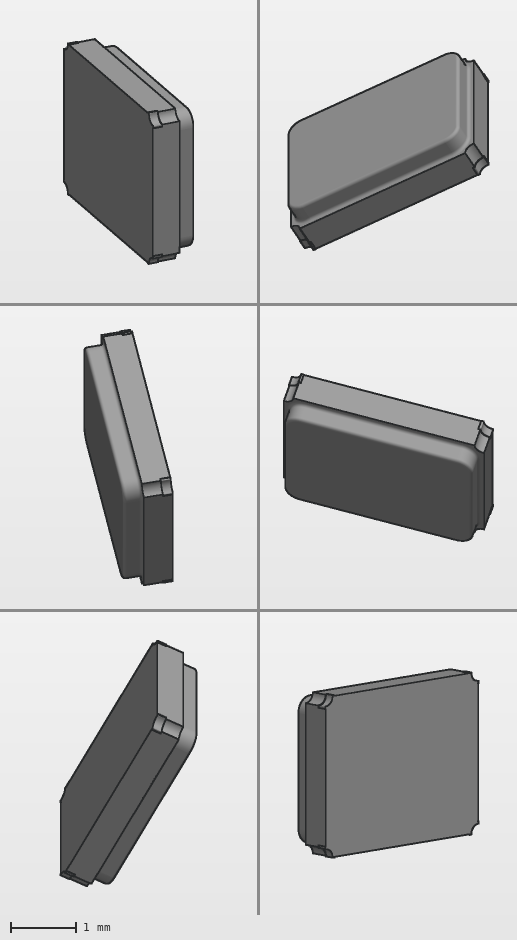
import cadquery as cq

overall_x = 3.22
overall_y = 0.75
overall_z = 2.52

pad_thickness = 0.01
pad_depth = 0.155
pad_reach = 0.185
pad_lip_round = 0.01

base_x = overall_x - 2 * pad_thickness
base_z = overall_z - 2 * pad_thickness
base_depth = 0.45
notch_radius = 0.15
pad_notch_radius = notch_radius - pad_thickness

lid_inset = 0.1
lid_x = base_x - 2 * lid_inset
lid_z = base_z - 2 * lid_inset
lid_height = overall_y - base_depth
lid_corner_radius = 0.25
lid_round = 0.05


def block(size_x, depth, size_z):
    """Block centred in X and Z, running from y = 0 towards +Y."""
    return cq.Workplane("XY").box(size_x, depth, size_z, centered=(True, False, True))


def corner_rods(radius, depth):
    """Round rods along Y on the four corners of the base."""
    return (
        cq.Workplane("XZ")
        .rect(base_x, base_z, forConstruction=True)
        .vertices()
        .circle(radius)
        .extrude(-depth)
    )


def lip_edges():
    """Selector for the edges where the pad notches meet the outer pad faces."""
    margin = 0.003
    lip_x = base_x / 2 - pad_notch_radius
    lip_z = base_z / 2 - pad_notch_radius
    lips = [(lip_x, overall_z / 2), (overall_x / 2, lip_z)]
    boxes = [
        cq.selectors.BoxSelector(
            (side_x * x - margin, -margin, side_z * z - margin),
            (side_x * x + margin, pad_depth + margin, side_z * z + margin),
            boundingbox=True,
        )
        for x, z in lips
        for side_x in (-1, 1)
        for side_z in (-1, 1)
    ]
    selector = boxes[0]
    for box in boxes[1:]:
        selector = selector + box
    return selector


def corner_pads():
    """Square pads at the front of the base corners, with round-lipped notches."""
    pad_side = pad_reach + pad_thickness
    pads = (
        cq.Workplane("XZ")
        .rect(overall_x - pad_side, overall_z - pad_side, forConstruction=True)
        .vertices()
        .rect(pad_side, pad_side)
        .extrude(-pad_depth)
    )
    pads = pads.cut(corner_rods(pad_notch_radius, pad_depth))
    return pads.edges(lip_edges()).fillet(pad_lip_round)


def lid():
    """Rounded cap whose foot flares onto the base in a concave fillet."""
    cap = (
        block(lid_x, lid_height, lid_z)
        .edges("|Y")
        .fillet(lid_corner_radius)
        .faces(">Y")
        .edges()
        .fillet(lid_round)
    )
    return cap.translate((0, base_depth, 0))


base = block(base_x, base_depth, base_z).cut(corner_rods(notch_radius, base_depth))
body = base.union(corner_pads()).union(lid())

foot_margin = 0.003
foot_selector = cq.selectors.BoxSelector(
    (-lid_x / 2 - foot_margin, base_depth - foot_margin, -lid_z / 2 - foot_margin),
    (lid_x / 2 + foot_margin, base_depth + foot_margin, lid_z / 2 + foot_margin),
    boundingbox=True,
)
result = body.edges(foot_selector).fillet(lid_round)